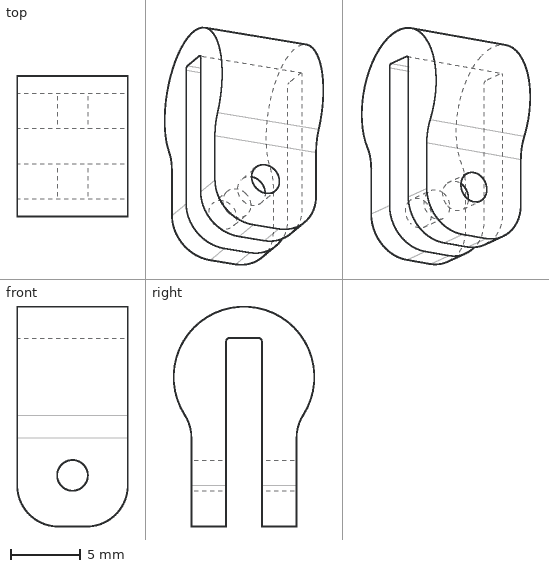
import cadquery as cq
import math

length = 8.0
head_radius = 5.08
total_height = 15.87
body_width = 7.6
neck_radius = 3.0
slot_width = 2.56
slot_roof = 2.27
slot_corner_radius = 0.25
leg_corner_radius = 3.0
hole_diameter = 2.2
hole_height = 3.7

bottom_z = head_radius - total_height
slot_top_z = head_radius - slot_roof
half_width = body_width / 2

neck_center_y = half_width + neck_radius
center_distance = head_radius + neck_radius
neck_center_z = -math.sqrt(center_distance**2 - neck_center_y**2)
head_share = head_radius / center_distance
tangent_y = neck_center_y * head_share
tangent_z = neck_center_z * head_share

neck_mid_angle = math.atan2(-neck_center_z, neck_center_y) / 2
neck_mid_y = neck_center_y - neck_radius * math.cos(neck_mid_angle)
neck_mid_z = neck_center_z + neck_radius * math.sin(neck_mid_angle)


def make_body():
    """Round head with necked-in legs, extruded along X."""
    return (
        cq.Workplane("YZ")
        .moveTo(-half_width, bottom_z)
        .lineTo(half_width, bottom_z)
        .lineTo(half_width, neck_center_z)
        .threePointArc((neck_mid_y, neck_mid_z), (tangent_y, tangent_z))
        .threePointArc((0, head_radius), (-tangent_y, tangent_z))
        .threePointArc((-neck_mid_y, neck_mid_z), (-half_width, neck_center_z))
        .close()
        .extrude(length / 2, both=True)
    )


def round_leg_corners(body):
    """Round the two lower corners seen along Y."""
    return body.faces("<Z").edges("|Y").fillet(leg_corner_radius)


def make_slot():
    """Slot between the legs, open at the bottom, with rounded upper corners."""
    return (
        cq.Workplane("XY", origin=(0, 0, bottom_z))
        .rect(length, slot_width)
        .extrude(slot_top_z - bottom_z)
        .edges("|X and >Z")
        .fillet(slot_corner_radius)
    )


def make_hole():
    """Cross hole through both legs."""
    return (
        cq.Workplane("XZ", origin=(0, 0, bottom_z + hole_height))
        .circle(hole_diameter / 2)
        .extrude(body_width, both=True)
    )


result = round_leg_corners(make_body()).cut(make_slot()).cut(make_hole())